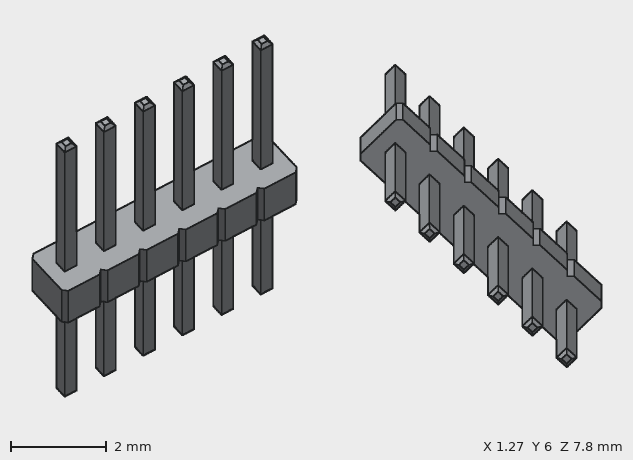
import cadquery as cq

pin_count = 6
row_length = 6.0
pitch = row_length / pin_count

housing_width = 1.27
housing_height = 1.0
corner_chamfer = 0.1

total_height = 7.8
pin_width = 0.305
tip_chamfer = 0.08
pin_below_housing = 2.995


def pin_positions():
    """Y position of each pin along the row."""
    return [(i - (pin_count - 1) / 2) * pitch for i in range(pin_count)]


def make_housing_cell(y):
    """One housing block; its chamfered corners form V-notches with its neighbours."""
    cell = cq.Workplane("XY").box(
        housing_width, pitch, housing_height, centered=(True, True, False)
    )
    return cell.edges("|Z").chamfer(corner_chamfer).translate((0, y, 0))


def make_pin(y):
    """One square pin, passing through the housing, with both tips chamfered."""
    pin = cq.Workplane("XY").box(
        pin_width, pin_width, total_height, centered=(True, True, False)
    )
    pin = pin.faces("<Z or >Z").edges().chamfer(tip_chamfer)
    return pin.translate((0, y, -pin_below_housing))


result = cq.Workplane("XY")
for pin_y in pin_positions():
    result = result.union(make_housing_cell(pin_y)).union(make_pin(pin_y))
result = result.clean()